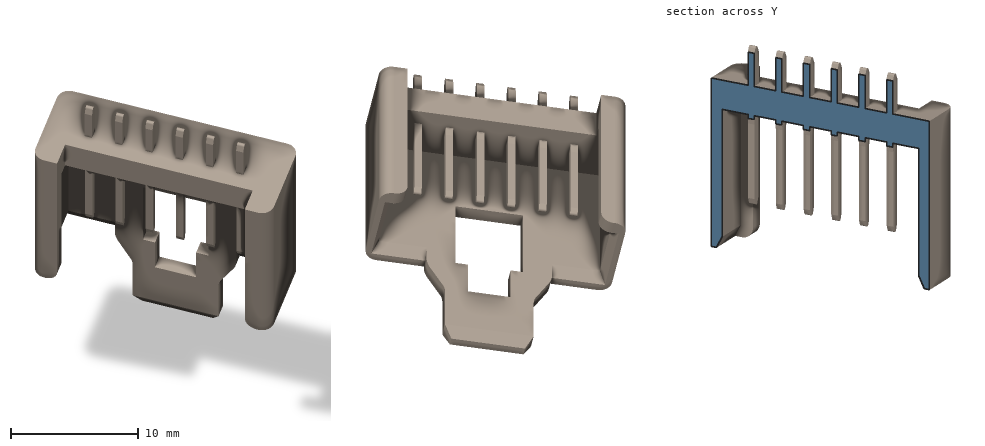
import cadquery as cq
import math

length = 19.7
depth = 7.5
height = 14.2
overall_height = 25.8
corner_radius = 1.0
back_y = depth / 2
front_y = -depth / 2

opening_width = 15.5
side_wall = 1.0
cavity_width = length - 2 * side_wall
back_wall = 1.15
wall_y = back_y - back_wall
ceiling = 2.5
lip_thickness = 1.1
ceiling_setback = 2.05
lip_corner_radius = 1.0

bevel_height = 1.0
bevel_depth = 0.5

shoulder_width = 10.05
tongue_width = 7.1
tongue_bottom = -22.55
tip_side_taper = 0.6
shoulder_drop = 0.72
shoulder_angle = math.radians(30)
shoulder_radius = 2.0
neck_radius = 1.35

window_width = 5.4
window_top = -8.15
window_step = -14.5
slot_width = 3.4
slot_bottom = -17.5

pin_count = 6
pin_pitch = 2.5
pin_width = 0.6
pin_top = overall_height + tongue_bottom
pin_bottom = -10.05
tail_depth = 0.75
tail_tip_radius = 0.2
tail_tip_angle = math.radians(24)
blade_depth = 0.58
blade_tip_radius = 0.16
blade_tip_angle = math.radians(18)
blade_taper_start = -ceiling
blade_taper_end = -3.25


def box(x_size, y_min, y_max, z_min, z_max):
    """Box centred on X between the given Y and Z limits."""
    return (
        cq.Workplane("XY")
        .box(x_size, y_max - y_min, z_max - z_min, centered=(True, False, False))
        .translate((0, y_min, z_min))
    )


def make_housing():
    """Rounded housing with the cavity, its sloped mouth and the two front lips."""
    lip_back_y = front_y + lip_thickness
    ceiling_front_y = front_y + ceiling_setback

    housing = box(length, front_y, back_y, -height, 0).edges("|Z").fillet(corner_radius)
    housing = housing.cut(box(cavity_width, lip_back_y, wall_y, -height, -ceiling))
    housing = housing.cut(box(opening_width, front_y, lip_back_y, -height, 0))
    housing = housing.cut(box(opening_width, lip_back_y, ceiling_front_y, -ceiling, 0))

    mouth_top = -height + bevel_height
    half_depth = wall_y - lip_back_y
    mouth = (
        cq.Workplane("XY", origin=(0, lip_back_y, mouth_top))
        .rect(cavity_width, 2 * half_depth)
        .workplane(offset=-bevel_height)
        .rect(cavity_width + 2 * bevel_depth, 2 * (half_depth + bevel_depth))
        .loft(ruled=True)
    )
    housing = housing.cut(mouth.intersect(box(length, lip_back_y, back_y, -height, mouth_top)))

    corner = lip_corner_radius
    for side in (-1, 1):
        lip_x = side * opening_width / 2
        rounding = (
            cq.Workplane("XZ", origin=(0, front_y, 0))
            .moveTo(lip_x, -height + corner)
            .radiusArc((lip_x + side * corner, -height), -side * corner)
            .lineTo(lip_x, -height)
            .close()
            .extrude(-lip_thickness)
        )
        housing = housing.cut(rounding)
    return housing


def make_tongue():
    """Latch tongue, wide at the back wall and narrowing to a bevelled tip."""
    shoulder_z = -height - shoulder_drop
    neck_z = shoulder_z - (shoulder_width - tongue_width) / 2 / math.tan(shoulder_angle)
    shoulder_x = shoulder_width / 2
    neck_x = tongue_width / 2
    tip_z = tongue_bottom + bevel_height
    tip_x = neck_x - tip_side_taper
    right_side = [
        (shoulder_x, -height + bevel_height),
        (shoulder_x, shoulder_z),
        (neck_x, neck_z),
        (neck_x, tip_z),
        (tip_x, tongue_bottom),
    ]
    left_side = [(-x, z) for x, z in reversed(right_side)]
    tongue = (
        cq.Workplane("XZ", origin=(0, back_y, 0))
        .polyline(right_side + left_side)
        .close()
        .extrude(back_wall)
    )
    reach = 0.1
    for corner_x, corner_z, radius in (
        (shoulder_x, shoulder_z, shoulder_radius),
        (neck_x, neck_z, neck_radius),
    ):
        for x in (-corner_x, corner_x):
            selector = cq.selectors.BoxSelector(
                (x - reach, wall_y - reach, corner_z - reach),
                (x + reach, back_y + reach, corner_z + reach),
            )
            tongue = tongue.edges("|Y").edges(selector).fillet(radius)

    tip_bevel = (
        cq.Workplane("YZ", origin=(-length / 2, 0, 0))
        .polyline([
            (wall_y, tip_z),
            (wall_y + bevel_depth, tongue_bottom),
            (wall_y, tongue_bottom),
        ])
        .close()
        .extrude(length)
    )
    return tongue.cut(tip_bevel)


def tip_size(half_depth, radius, angle):
    """Rounded nose half width, rounded nose height and total height of a tapered pin tip."""
    nose_half = radius * math.cos(angle)
    nose_height = radius * (1 - math.sin(angle))
    return nose_half, nose_height, nose_height + (half_depth - nose_half) / math.tan(angle)


def make_pin(x):
    """Flat pin: solder tail above the housing, thinner contact blade inside the cavity."""
    tail = tail_depth / 2
    blade = blade_depth / 2
    tail_nose, tail_nose_height, tail_tip = tip_size(tail, tail_tip_radius, tail_tip_angle)
    blade_nose, blade_nose_height, blade_tip = tip_size(blade, blade_tip_radius, blade_tip_angle)
    return (
        cq.Workplane("YZ", origin=(x - pin_width / 2, 0, 0))
        .moveTo(-tail, pin_top - tail_tip)
        .lineTo(-tail_nose, pin_top - tail_nose_height)
        .threePointArc((0, pin_top), (tail_nose, pin_top - tail_nose_height))
        .lineTo(tail, pin_top - tail_tip)
        .lineTo(tail, blade_taper_start)
        .lineTo(blade, blade_taper_end)
        .lineTo(blade, pin_bottom + blade_tip)
        .lineTo(blade_nose, pin_bottom + blade_nose_height)
        .threePointArc((0, pin_bottom), (-blade_nose, pin_bottom + blade_nose_height))
        .lineTo(-blade, pin_bottom + blade_tip)
        .lineTo(-blade, blade_taper_end)
        .lineTo(-tail, blade_taper_start)
        .close()
        .extrude(pin_width)
    )


def make_window():
    """Opening through the wall: a wide window above a narrower slot."""
    window = box(window_width, wall_y, back_y, window_step, window_top)
    return window.union(box(slot_width, wall_y, back_y, slot_bottom, window_step))


result = make_housing().union(make_tongue()).cut(make_window())
for index in range(pin_count):
    result = result.union(make_pin((index - (pin_count - 1) / 2) * pin_pitch))